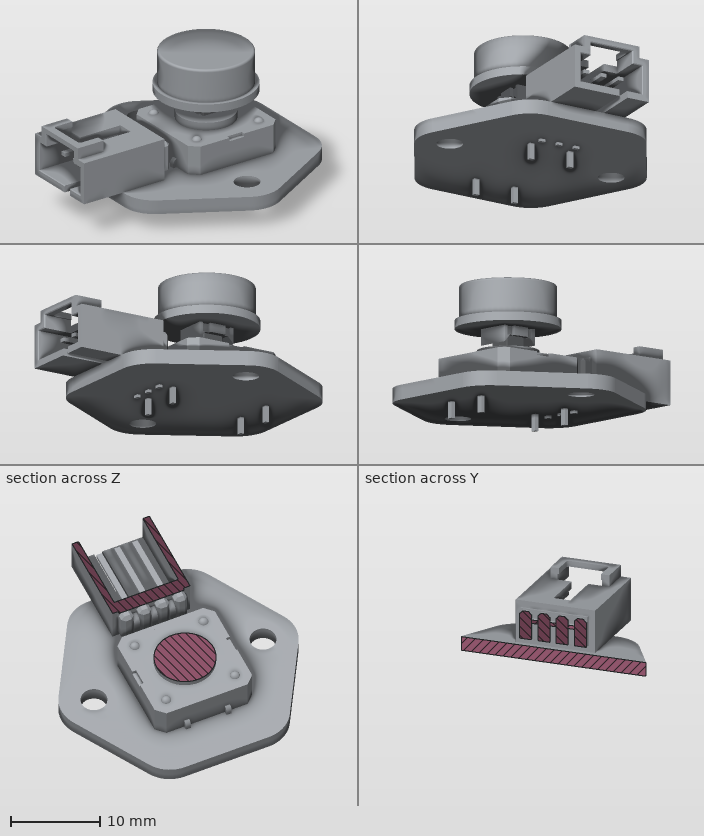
import cadquery as cq
import math


board_sides = 6
board_apothem = 13.0
board_corner_radius = 4.0
board_thickness = 1.7
mount_hole_diameter = 3.0
mount_hole_x = 10.4

switch_y = 1.7
switch_width = 12.0
switch_height = 3.5
switch_corner_chamfer = 1.0
leg_width = 0.63
leg_thickness = 0.47
leg_x = 2.5
leg_shoulder_height = 1.05
leg_shoulder_radius = 0.7
leg_bottom_z = -3.6
rim_notch_width = 2.0

cover_inset = 0.47
cover_thickness = 0.4
cover_corner_chamfer = 0.53
cover_step_length = 5.75
cover_step_depth = 0.1
cover_notch_width = 0.38
cover_notch_depth = 0.3
cover_notch_front_y = -2.8
cover_notch_back_y = 3.25
rivet_diameter = 1.13
rivet_height = 0.4
rivet_offset = 4.23
cover_width = switch_width - 2 * cover_inset
cover_bottom_z = switch_height - cover_thickness

collar_diameter = 7.0
collar_top_z = 4.45
neck_width = 2.57
neck_chamfer = 0.1
head_width = 3.32
head_bottom_z = 5.95

cap_diameter = 11.0
flange_diameter = 12.0
flange_bottom_z = 6.92
flange_thickness = 0.97
cap_top_z = 11.9
cap_edge_radius = 0.28
socket_width = 4.48
socket_wall = 0.4
stop_width = 2.0
clip_width = 4.0
clip_ledge_z = 5.85
clip_tip_z = 5.05
clip_hook_reach = 0.35

connector_width = 9.55
connector_length = 11.0
connector_height = 5.07
connector_front_y = -18.3
connector_wall = 0.85
connector_back_wall = 1.45
mouth_chamfer = 0.1
mouth_chamfer_angle = 45
hood_width = 7.07
hood_length = 3.5
hood_top_z = 6.45
hood_roof = 0.7
hood_cavity_width = 5.35
window_width = 5.05
window_front_wall = 0.95
window_corner_radius = 0.38
slot_back_setback = 1.97
roof_slot_width = 2.0
floor_slot_left_x = 1.0
floor_slot_width = 1.03
connector_back_y = connector_front_y + connector_length
cavity_back_y = connector_back_y - connector_back_wall
slot_back_y = connector_back_y - slot_back_setback
hood_back_y = connector_front_y + hood_length

contact_count = 3
contact_pitch = 2.2
contact_row_x = 0.1
contact_width = 0.7
contact_thickness = 0.45
contact_z = 3.0
contact_tip_setback = 1.97
contact_reach = 1.28
contact_bend_radius = 0.72
contact_tail = 0.3
rib_width = contact_pitch - contact_width
rib_reach = 1.35
rib_chamfer = 0.4
rib_top_z = 4.13
rib_bottom_z = 0.75
rib_plate_thickness = 0.28
rib_plate_top_z = 4.25

contact_xs = [contact_row_x + (i - (contact_count - 1) / 2) * contact_pitch for i in range(contact_count)]
rib_xs = [contact_row_x + (i - contact_count / 2) * contact_pitch for i in range(contact_count + 1)]


def box(x_min, x_max, y_min, y_max, z_min, z_max):
    """Axis-aligned block between two opposite corners."""
    return cq.Workplane("XY").box(
        x_max - x_min, y_max - y_min, z_max - z_min, centered=False
    ).translate((x_min, y_min, z_min))


def centred_box(width_x, width_y, z_min, z_max):
    """Block centred on the Z axis."""
    return box(-width_x / 2, width_x / 2, -width_y / 2, width_y / 2, z_min, z_max)


def disc(diameter, z_min, z_max):
    """Cylinder on the Z axis."""
    return cq.Workplane("XY").workplane(offset=z_min).circle(diameter / 2).extrude(z_max - z_min)


def make_leg():
    """One leg on the +X, +Y side: it leaves the wall and bends down with a rounded shoulder."""
    wall_y = switch_width / 2
    outer_y = wall_y + leg_thickness
    arc_drop = math.sqrt(leg_shoulder_radius ** 2 - (leg_shoulder_radius - leg_thickness) ** 2)
    profile = (
        cq.Workplane("YZ", origin=(leg_x - leg_width / 2, 0, 0))
        .moveTo(wall_y, leg_bottom_z)
        .lineTo(wall_y, leg_shoulder_height)
        .radiusArc((outer_y, leg_shoulder_height - arc_drop), leg_shoulder_radius)
        .lineTo(outer_y, leg_bottom_z)
        .close()
    )
    return profile.extrude(leg_width)


def make_legs():
    """Four legs, mirrored about both switch centre planes."""
    pair = make_leg().union(make_leg().mirror("YZ"))
    return pair.union(pair.mirror("XZ"))


def make_cover_plate():
    """Flat plate with cut corners, stepped front and back edges and small side notches."""
    half = cover_width / 2
    plate = centred_box(cover_width, cover_width, cover_bottom_z, switch_height)
    plate = plate.edges("|Z").chamfer(cover_corner_chamfer)
    for side in (-1, 1):
        step = centred_box(cover_step_length, 2 * cover_step_depth, cover_bottom_z, switch_height)
        plate = plate.cut(step.translate((0, side * half, 0)))
        for notch_y in (cover_notch_front_y, cover_notch_back_y):
            notch = centred_box(2 * cover_notch_depth, cover_notch_width, cover_bottom_z, switch_height)
            plate = plate.cut(notch.translate((side * half, notch_y, 0)))
    return plate


def make_rivet():
    """Spherical dome standing on the cover."""
    radius = rivet_diameter / 2
    sphere_radius = (radius ** 2 + rivet_height ** 2) / (2 * rivet_height)
    sphere = cq.Workplane("XY").sphere(sphere_radius)
    sphere = sphere.translate((0, 0, switch_height + rivet_height - sphere_radius))
    return sphere.intersect(disc(2 * rivet_diameter, switch_height, switch_height + rivet_height))


def make_switch_cover():
    """Cover plate with four rivet domes and a bore for the plunger."""
    cover = make_cover_plate().cut(disc(collar_diameter, cover_bottom_z, switch_height))
    for x in (-rivet_offset, rivet_offset):
        for y in (-rivet_offset, rivet_offset):
            cover = cover.union(make_rivet().translate((x, y, 0)))
    return cover


def make_switch_housing():
    """Square housing with cut corners, a recess for the cover, two rim notches and four legs."""
    housing = centred_box(switch_width, switch_width, 0, switch_height)
    housing = housing.edges("|Z").chamfer(switch_corner_chamfer)
    housing = housing.cut(make_cover_plate())
    housing = housing.cut(disc(collar_diameter, cover_bottom_z, switch_height))
    housing = housing.cut(centred_box(switch_width, rim_notch_width, cover_bottom_z, switch_height))
    return housing.union(make_legs())


def make_plunger():
    """Round collar with a square neck and a wider square head."""
    collar = disc(collar_diameter, cover_bottom_z, collar_top_z)
    neck = centred_box(neck_width, neck_width, collar_top_z, head_bottom_z)
    neck = neck.edges("|Z").chamfer(neck_chamfer)
    head = centred_box(head_width, head_width, head_bottom_z, flange_bottom_z)
    return collar.union(neck).union(head)


def make_clip():
    """Snap clip on the +Y side, hooked below the plunger head."""
    outer_y = socket_width / 2
    inner_y = outer_y - socket_wall
    profile = [
        (outer_y, flange_bottom_z),
        (outer_y, clip_tip_z),
        (inner_y - clip_hook_reach, clip_ledge_z),
        (inner_y, clip_ledge_z),
        (inner_y, flange_bottom_z),
    ]
    return cq.Workplane("YZ").polyline(profile).close().extrude(clip_width / 2, both=True)


def make_cap():
    """Flanged round button with two snap clips and two stop plates below it."""
    flange_top_z = flange_bottom_z + flange_thickness
    button = disc(cap_diameter, flange_bottom_z, cap_top_z).faces(">Z").edges().fillet(cap_edge_radius)
    cap = button.union(disc(flange_diameter, flange_bottom_z, flange_top_z))
    stop = box(
        socket_width / 2 - socket_wall, socket_width / 2,
        -stop_width / 2, stop_width / 2,
        clip_ledge_z, flange_bottom_z,
    )
    clip = make_clip()
    return cap.union(stop).union(stop.mirror("YZ")).union(clip).union(clip.mirror("XZ"))


def make_contact(x):
    """Right-angle contact: a straight blade that bends down through the board."""
    tip_y = connector_front_y + contact_tip_setback
    tail_y = connector_back_y + contact_reach - contact_thickness / 2
    bottom_z = -board_thickness - contact_tail
    centreline = (
        cq.Workplane("YZ", origin=(x, 0, 0))
        .moveTo(tip_y, contact_z)
        .lineTo(tail_y - contact_bend_radius, contact_z)
        .radiusArc((tail_y, contact_z - contact_bend_radius), contact_bend_radius)
        .lineTo(tail_y, bottom_z)
    )
    section = cq.Workplane("XZ", origin=(x, tip_y, contact_z)).rect(contact_width, contact_thickness)
    return section.sweep(centreline)


def make_rib(x):
    """Rear rib beside a contact, chamfered on every edge away from the connector except the bottom."""
    rib = box(
        x - rib_width / 2, x + rib_width / 2,
        connector_back_y, connector_back_y + rib_reach,
        rib_bottom_z, rib_top_z,
    )
    return rib.edges("(>Y and |Z) or (>Z exc <Y)").chamfer(rib_chamfer)


def make_stepped_cavity(depth, growth, taper):
    """Stepped cavity running in from the mouth, its outline enlarged on every side by growth."""
    half = connector_width / 2 - connector_wall + growth
    hood_half = hood_cavity_width / 2 + growth
    floor_z = connector_wall - growth
    step_z = connector_height - connector_wall + growth
    roof_z = hood_top_z - hood_roof + growth
    outline = [
        (floor_z, -half),
        (floor_z, half),
        (step_z, half),
        (step_z, hood_half),
        (roof_z, hood_half),
        (roof_z, -hood_half),
        (step_z, -hood_half),
        (step_z, -half),
    ]
    mouth = cq.Workplane("ZX", origin=(0, connector_front_y, 0))
    return mouth.polyline(outline).close().extrude(depth, taper=taper)


def cut_cavity(shell):
    """Hollow out the shell: plain at the back, stepped below the hood, chamfered at the mouth."""
    side = connector_width / 2 - connector_wall
    main = box(
        -side, side, connector_front_y, cavity_back_y,
        connector_wall, connector_height - connector_wall,
    )
    under_hood = make_stepped_cavity(hood_length, 0, 0)
    mouth = make_stepped_cavity(mouth_chamfer, mouth_chamfer, mouth_chamfer_angle)
    return shell.cut(main).cut(under_hood).cut(mouth)


def cut_openings(shell):
    """Hood window, keying slot in the roof and offset slot in the floor."""
    window = box(
        -window_width / 2, window_width / 2,
        connector_front_y + window_front_wall, hood_back_y,
        connector_height, hood_top_z,
    )
    window = window.faces("<Y").edges("|Z").fillet(window_corner_radius)
    roof_slot = box(
        -roof_slot_width / 2, roof_slot_width / 2,
        hood_back_y, slot_back_y,
        connector_wall, connector_height,
    )
    floor_slot = box(
        floor_slot_left_x, floor_slot_left_x + floor_slot_width,
        connector_front_y, slot_back_y,
        0, connector_wall,
    )
    return shell.cut(window).cut(roof_slot).cut(floor_slot)


def make_connector(contacts):
    """Hooded connector housing with rear ribs and passages for the contacts."""
    half = connector_width / 2
    shell = box(-half, half, connector_front_y, connector_back_y, 0, connector_height)
    hood = box(-hood_width / 2, hood_width / 2, connector_front_y, hood_back_y, 0, hood_top_z)
    shell = cut_openings(cut_cavity(shell.union(hood)))
    plate = box(
        rib_xs[0] - rib_width / 2, rib_xs[-1] + rib_width / 2,
        connector_back_y, connector_back_y + rib_plate_thickness,
        rib_bottom_z, rib_plate_top_z,
    )
    shell = shell.union(plate)
    for x in rib_xs:
        shell = shell.union(make_rib(x))
    for contact in contacts:
        shell = shell.cut(contact)
    return shell


def make_board(legs, contacts):
    """Rounded hexagon with two mounting holes and a hole for every leg and contact."""
    corner_distance = board_apothem / math.cos(math.pi / board_sides)
    board = cq.Workplane("XY").polygon(board_sides, 2 * corner_distance).extrude(-board_thickness)
    board = board.edges("|Z").fillet(board_corner_radius)
    for x in (-mount_hole_x, mount_hole_x):
        board = board.cut(disc(mount_hole_diameter, -board_thickness, 0).translate((x, 0, 0)))
    board = board.cut(legs)
    for contact in contacts:
        board = board.cut(contact)
    return board


switch_place = (0, switch_y, 0)
contacts = [make_contact(x) for x in contact_xs]
board = make_board(make_legs().translate(switch_place), contacts)
switch_housing = make_switch_housing().translate(switch_place)
switch_cover = make_switch_cover().translate(switch_place)
plunger = make_plunger().translate(switch_place)
cap = make_cap().translate(switch_place)
connector = make_connector(contacts)

result = cq.Compound.makeCompound([
    board.val(),
    switch_housing.val(),
    switch_cover.val(),
    plunger.val(),
    cap.val(),
    connector.val(),
    *[contact.val() for contact in contacts],
])